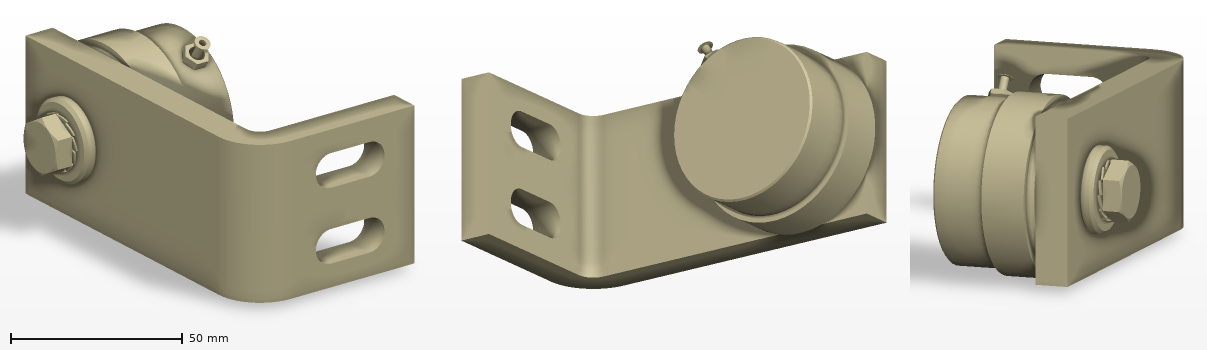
import cadquery as cq
import math


plate = 10.0
bracket_length = 109.9
bracket_depth = 60.0
bracket_height = 50.0
bend_radius = 15.0
bracket_end_x = -22.4
slot_width = 11.0
slot_spacing = 24
slot_straight = 14.0
slot_end_gap = 10.9
clearance_hole = 10.5

drum_dia = 50.0
drum_length = 31.1
drum_front_chamfer = 1.0
drum_back_chamfer = 0.6
rim_dia = 54.0
rim_width = 13.2
rim_offset = 2.1

washer_dia = 26.0
washer_thickness = 4.1
washer_front_chamfer = 1.0
washer_back_chamfer = 0.7
lock_dia = 18.0
lock_root_dia = 15.0
lock_thickness = 1.5
lock_core_thickness = 0.6
tooth_count = 12
tooth_width = 4.5
tooth_thickness = 0.6
tooth_twist = 10
head_flats = 16
head_height = 5.8
head_face_dia = 15.7
head_chamfer_angle = 30
bolt_dia = 10.0
bolt_length = 30.0

fitting_tilt = 33
fitting_from_back = 6.6
fitting_flats = 7.1
fitting_hex_height = 3.0
fitting_shank_dia = 6.0
fitting_shank_length = 6.9
recess_dia = 4.9
recess_depth = 5.7
tube_dia = 2.5
tube_bore = 2.3
tube_top_radius = 33.1
flange_dia = 4.9
flange_thickness = 0.1

drum_front_y = plate
drum_back_y = drum_front_y + drum_length
drum_radius = drum_dia / 2
lock_back_y = -washer_thickness
head_back_y = lock_back_y - lock_thickness
fitting_y = drum_back_y - fitting_from_back
recess_floor = drum_radius + fitting_hex_height - recess_depth


def corner_dia(flats):
    """Across-corners size of a hexagon from its across-flats size."""
    return flats / math.cos(math.radians(30))


def disc(diameter, start_y, length):
    """Cylinder on the roller axis that runs from start_y towards +Y."""
    plane = cq.Workplane("XZ", origin=(0, start_y, 0))
    return plane.circle(diameter / 2).extrude(-length)


def on_fitting_axis(shape):
    """Move a shape built along Z onto the tilted radial axis of the grease fitting."""
    return shape.rotate((0, 0, 0), (0, 1, 0), fitting_tilt).translate((0, fitting_y, 0))


def rod(diameter, start, length):
    """Cylinder along Z, before it is moved onto the fitting axis."""
    return cq.Workplane("XY").workplane(offset=start).circle(diameter / 2).extrude(length)


def make_bracket():
    outer_x = bracket_end_x + bracket_length
    inner_x = outer_x - plate
    profile = (
        cq.Workplane("XY", origin=(0, 0, -bracket_height / 2))
        .moveTo(bracket_end_x, 0)
        .lineTo(outer_x - bend_radius, 0)
        .radiusArc((outer_x, bend_radius), -bend_radius)
        .lineTo(outer_x, bracket_depth)
        .lineTo(inner_x, bracket_depth)
        .lineTo(inner_x, bend_radius)
        .radiusArc((outer_x - bend_radius, plate), bend_radius - plate)
        .lineTo(bracket_end_x, plate)
        .close()
    )
    body = profile.extrude(bracket_height)

    slot_length = slot_straight + slot_width
    slot_y = bracket_depth - slot_end_gap - slot_length / 2
    slots = (
        cq.Workplane("YZ", origin=(inner_x, slot_y, 0))
        .rarray(1.1, slot_spacing, 1, 2)
        .slot2D(slot_length, slot_width)
        .extrude(plate)
    )
    return body.cut(slots).cut(disc(clearance_hole, 0, plate))


def make_drum():
    drum = disc(drum_dia, drum_front_y, drum_length)
    drum = drum.faces("<Y").chamfer(drum_front_chamfer)
    drum = drum.faces(">Y").chamfer(drum_back_chamfer)
    bolt_hole = disc(bolt_dia, head_back_y, bolt_length)
    fitting_hole = on_fitting_axis(
        rod(fitting_shank_dia, drum_radius - fitting_shank_length, fitting_shank_length)
    )
    return drum.cut(bolt_hole).cut(fitting_hole)


def make_rim():
    rim_y = drum_front_y + rim_offset
    return disc(rim_dia, rim_y, rim_width).cut(disc(drum_dia, rim_y, rim_width))


def make_washer():
    washer = disc(washer_dia, lock_back_y, washer_thickness)
    washer = washer.faces("<Y").chamfer(washer_front_chamfer)
    washer = washer.faces(">Y").chamfer(washer_back_chamfer)
    return washer.cut(disc(clearance_hole, lock_back_y, washer_thickness))


def make_lock_washer():
    middle_y = (lock_back_y + head_back_y) / 2
    core = disc(lock_root_dia, middle_y - lock_core_thickness / 2, lock_core_thickness)
    bar = (
        cq.Workplane("XY")
        .box(lock_dia / 2, tooth_width, tooth_thickness, centered=(False, True, True))
        .rotate((0, 0, 0), (1, 0, 0), 90 + tooth_twist)
        .translate((0, middle_y, 0))
    )
    tooth_pitch = 360 / tooth_count
    for index in range(tooth_count):
        core = core.union(bar.rotate((0, 0, 0), (0, 1, 0), (index + 0.5) * tooth_pitch))
    envelope = disc(lock_dia, head_back_y, lock_thickness)
    return core.intersect(envelope).cut(disc(clearance_hole, head_back_y, lock_thickness))


def make_bolt():
    head = (
        cq.Workplane("XZ", origin=(0, head_back_y, 0))
        .polygon(6, corner_dia(head_flats))
        .extrude(head_height)
        .rotate((0, 0, 0), (0, 1, 0), 90)
    )
    face_y = head_back_y - head_height
    face_radius = head_face_dia / 2
    cone_growth = head_height / math.tan(math.radians(head_chamfer_angle))
    cone = (
        cq.Workplane("XY")
        .moveTo(0, face_y)
        .lineTo(face_radius, face_y)
        .lineTo(face_radius + cone_growth, head_back_y)
        .lineTo(0, head_back_y)
        .close()
        .revolve(360, (0, 0, 0), (0, 1, 0))
    )
    return head.intersect(cone).union(disc(bolt_dia, head_back_y, bolt_length))


def make_fitting_body():
    hexagon = (
        cq.Workplane("XY", origin=(0, 0, drum_radius))
        .polygon(6, corner_dia(fitting_flats))
        .extrude(fitting_hex_height)
        .rotate((0, 0, 0), (0, 0, 1), 90)
    )
    shank = rod(fitting_shank_dia, drum_radius - fitting_shank_length, fitting_shank_length)
    recess = rod(recess_dia, recess_floor, recess_depth)
    return on_fitting_axis(hexagon.union(shank).cut(recess))


def make_fitting_tube():
    tube_length = tube_top_radius - recess_floor
    tube = rod(tube_dia, recess_floor, tube_length)
    flange = rod(flange_dia, tube_top_radius - flange_thickness, flange_thickness)
    bore = rod(tube_bore, recess_floor, tube_length)
    return on_fitting_axis(tube.union(flange).cut(bore))


bracket = make_bracket()
drum = make_drum()
rim = make_rim()
washer = make_washer()
lock_washer = make_lock_washer()
bolt = make_bolt()
fitting_body = make_fitting_body()
fitting_tube = make_fitting_tube()

result = cq.Compound.makeCompound([
    bracket.val(),
    drum.val(),
    rim.val(),
    washer.val(),
    lock_washer.val(),
    bolt.val(),
    fitting_body.val(),
    fitting_tube.val(),
])